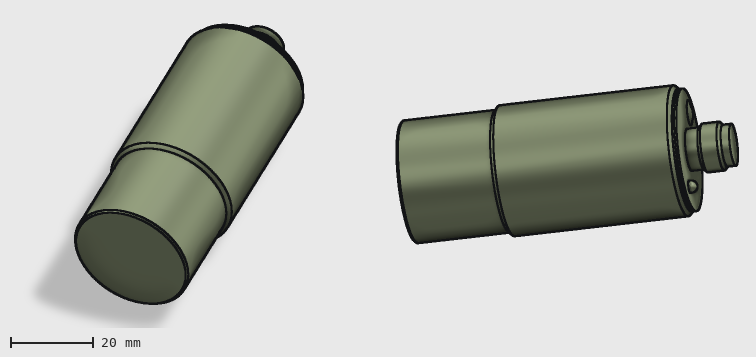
import cadquery as cq

LENGTH = 80.5
BODY_DIAMETER = 32.0
NOSE_DIAMETER = 30.0
NOSE_LENGTH = 23.35
NOSE_EDGE_CHAMFER = 0.5

REAR_FACE_Y = 29.3
REAR_RIM_DIAMETER = NOSE_DIAMETER
REAR_RIM_LENGTH = 1.1
RIM_GROOVE_WIDTH = 0.6
RIM_GROOVE_DEPTH = 0.1
RIM_NOTCH_WIDTH = 3.6
RIM_NOTCH_DEPTH = 0.5

CONNECTOR_DIAMETER = 10.3
COLLAR_DIAMETER = 12.0
COLLAR_LENGTH = 5.8
COLLAR_END_GAP = 2.1

INDICATOR_OFFSET = 10.55
LED_DIAMETER = 3.0
LED_STEM_LENGTH = 0.5
DOME_SPHERE_DIAMETER = 14.0
DOME_HEIGHT = 0.7

FRONT_Y = -LENGTH / 2
BACK_Y = LENGTH / 2
shoulder_chamfer = (BODY_DIAMETER - NOSE_DIAMETER) / 2
collar_chamfer = (COLLAR_DIAMETER - CONNECTOR_DIAMETER) / 2


def rod(diameter, start_y, end_y):
    """Solid cylinder on the sensor axis between two Y positions."""
    plane = cq.Workplane("XZ", origin=(0, start_y, 0))
    return plane.circle(diameter / 2).extrude(start_y - end_y)


def make_rim(start_y):
    """Rear rim with a shallow groove at its base and a deeper notch in it at -X."""
    rim = rod(REAR_RIM_DIAMETER, start_y, REAR_FACE_Y)
    groove_end_y = start_y + RIM_GROOVE_WIDTH
    floor_diameter = REAR_RIM_DIAMETER - 2 * RIM_GROOVE_DEPTH
    groove = rod(REAR_RIM_DIAMETER, start_y, groove_end_y).cut(rod(floor_diameter, start_y, groove_end_y))
    notch = cq.Workplane("XY").box(2 * RIM_NOTCH_DEPTH, RIM_GROOVE_WIDTH, RIM_NOTCH_WIDTH)
    notch = notch.translate((-REAR_RIM_DIAMETER / 2, start_y + RIM_GROOVE_WIDTH / 2, 0))
    return rim.cut(groove).cut(notch)


def make_housing():
    """Nose, chamfered main body and the narrower rim at its rear."""
    nose_end_y = FRONT_Y + NOSE_LENGTH
    rim_start_y = REAR_FACE_Y - REAR_RIM_LENGTH
    nose = rod(NOSE_DIAMETER, FRONT_Y, nose_end_y).faces("<Y").chamfer(NOSE_EDGE_CHAMFER)
    body = rod(BODY_DIAMETER, nose_end_y, rim_start_y).edges().chamfer(shoulder_chamfer)
    return nose.union(body).union(make_rim(rim_start_y))


def make_connector():
    """Plug stem with a chamfered coupling collar."""
    stem = rod(CONNECTOR_DIAMETER, REAR_FACE_Y, BACK_Y)
    collar_end_y = BACK_Y - COLLAR_END_GAP
    collar = rod(COLLAR_DIAMETER, collar_end_y - COLLAR_LENGTH, collar_end_y)
    return stem.union(collar.edges().chamfer(collar_chamfer))


def make_led():
    """Round-tipped LED below the connector."""
    tip_y = REAR_FACE_Y + LED_STEM_LENGTH
    stem = rod(LED_DIAMETER, REAR_FACE_Y, tip_y)
    tip = cq.Workplane("XY").sphere(LED_DIAMETER / 2).translate((0, tip_y, 0))
    return stem.union(tip).translate((0, 0, -INDICATOR_OFFSET))


def make_dome():
    """Shallow spherical cap above the connector, its sphere sunk into the housing."""
    radius = DOME_SPHERE_DIAMETER / 2
    centre_y = REAR_FACE_Y + DOME_HEIGHT - radius
    ball = cq.Workplane("XY").sphere(radius).translate((0, centre_y, 0))
    cap = ball.intersect(rod(DOME_SPHERE_DIAMETER, REAR_FACE_Y, BACK_Y))
    return cap.translate((0, 0, INDICATOR_OFFSET))


result = make_housing().union(make_connector()).union(make_led()).union(make_dome())